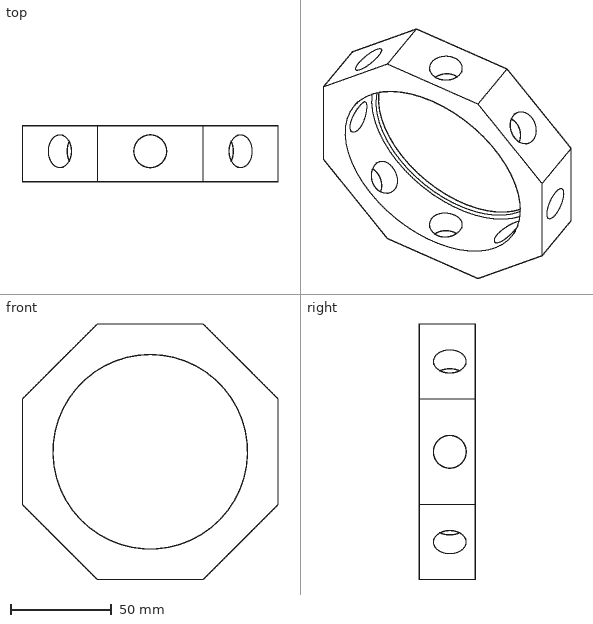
import cadquery as cq
import math

SIDE_COUNT = 8
ACROSS_FLATS = 127.0
BODY_DEPTH = 25.4
LIP_DEPTH = 2.54
LIP_BORE_DIAMETER = 96.52
BODY_BORE_DIAMETER = 101.6
RADIAL_HOLE_DIAMETER = 16.2

RING_DEPTH = BODY_DEPTH + LIP_DEPTH
FRONT_Y = -RING_DEPTH / 2
BODY_START_Y = FRONT_Y + LIP_DEPTH
HOLE_CENTER_Y = BODY_START_Y + BODY_DEPTH / 2
FLAT_ANGLE = 360 / SIDE_COUNT


def y_cylinder(diameter, start_y, length):
    """Cylinder along +Y, centred on the ring axis."""
    axis = cq.Vector(0, 1, 0)
    return cq.Workplane(cq.Solid.makeCylinder(diameter / 2, length, cq.Vector(0, start_y, 0), axis))


def octagon_blank():
    """Octagonal prism along Y with flats facing +-X and +-Z."""
    half_flat_angle = math.pi / SIDE_COUNT
    corner_radius = ACROSS_FLATS / 2 / math.cos(half_flat_angle)
    corner_angles = [(2 * index + 1) * half_flat_angle for index in range(SIDE_COUNT)]
    corners = [(corner_radius * math.cos(a), corner_radius * math.sin(a)) for a in corner_angles]
    return (
        cq.Workplane("XZ", origin=(0, FRONT_Y, 0))
        .polyline(corners)
        .close()
        .extrude(-RING_DEPTH)
    )


def stepped_bore():
    """Main bore with a slightly narrower retaining lip at the -Y end."""
    lip_bore = y_cylinder(LIP_BORE_DIAMETER, FRONT_Y, LIP_DEPTH)
    body_bore = y_cylinder(BODY_BORE_DIAMETER, BODY_START_Y, BODY_DEPTH)
    return lip_bore.union(body_bore)


def radial_hole(angle):
    """Cylinder from the ring axis out through the flat at the given angle about Y."""
    start = cq.Vector(0, HOLE_CENTER_Y, 0)
    direction = cq.Vector(0, 0, 1)
    hole = cq.Solid.makeCylinder(RADIAL_HOLE_DIAMETER / 2, ACROSS_FLATS, start, direction)
    return cq.Workplane(hole).rotate((0, 0, 0), (0, 1, 0), angle)


result = octagon_blank().cut(stepped_bore())
for index in range(SIDE_COUNT):
    result = result.cut(radial_hole(index * FLAT_ANGLE))